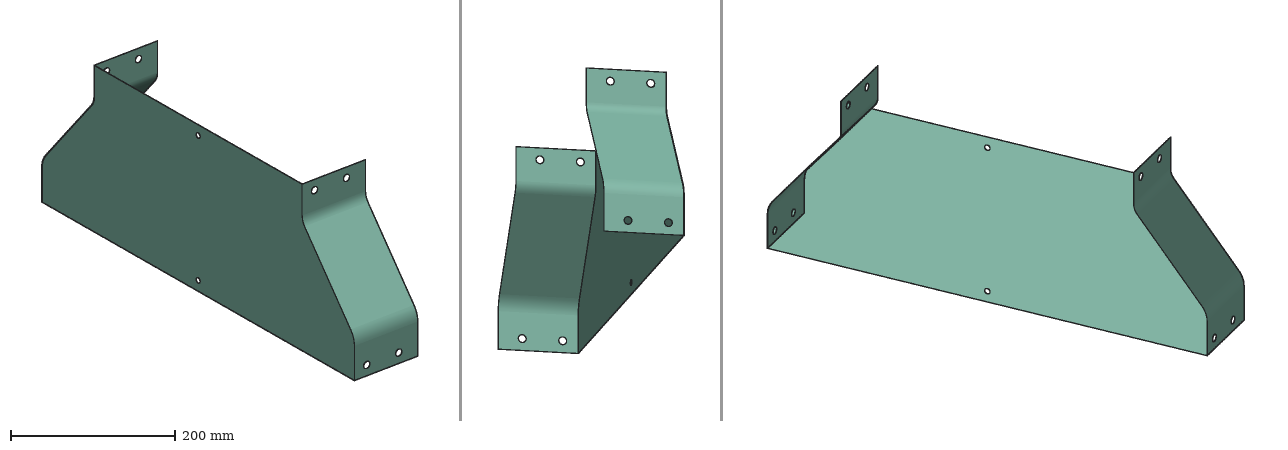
import cadquery as cq

base_width = 600.0
depth = 100.0
height = 230.0
sheet = 0.7

side_step = 100.0
base_flange_height = 59.0
top_flange_height = 51.0
base_bend_radius = 31.0
top_bend_radius = 20.5

panel_hole_diameter = 7.0
flange_hole_diameter = 9.5
hole_edge_distance = 15.0
flange_hole_depths = (20.0, 70.0)

half_base = base_width / 2
half_top = half_base - side_step
base_bend_z = base_flange_height
top_bend_z = height - top_flange_height
hole_heights = (hole_edge_distance, height - hole_edge_distance)


def extruded_outline(length):
    """Symmetric outline with rounded bends, standing on Z = 0 and running from Y = 0 toward +Y."""
    body = (
        cq.Workplane("XZ")
        .polyline([
            (-half_base, 0),
            (half_base, 0),
            (half_base, base_bend_z),
            (half_top, top_bend_z),
            (half_top, height),
            (-half_top, height),
            (-half_top, top_bend_z),
            (-half_base, base_bend_z),
        ])
        .close()
        .extrude(-length)
    )
    for x, z, radius in (
        (half_base, base_bend_z, base_bend_radius),
        (half_top, top_bend_z, top_bend_radius),
    ):
        for side in (-1, 1):
            corner = cq.selectors.NearestToPointSelector((side * x, length / 2, z))
            body = body.edges("|Y").edges(corner).fillet(radius)
    return body


def bent_shell():
    """Front panel with a bent flange along each side; top, bottom and back are open."""
    open_faces = "<Z or >Z or >Y"
    return extruded_outline(depth).faces(open_faces).shell(-sheet)


def panel_holes():
    return (
        cq.Workplane("XZ")
        .pushPoints([(0, z) for z in hole_heights])
        .circle(panel_hole_diameter / 2)
        .extrude(-depth)
    )


def flange_holes():
    """Cutters running along X through both side flanges."""
    return (
        cq.Workplane("YZ")
        .pushPoints([(y, z) for y in flange_hole_depths for z in hole_heights])
        .circle(flange_hole_diameter / 2)
        .extrude(half_base, both=True)
    )


result = bent_shell().cut(panel_holes()).cut(flange_holes())